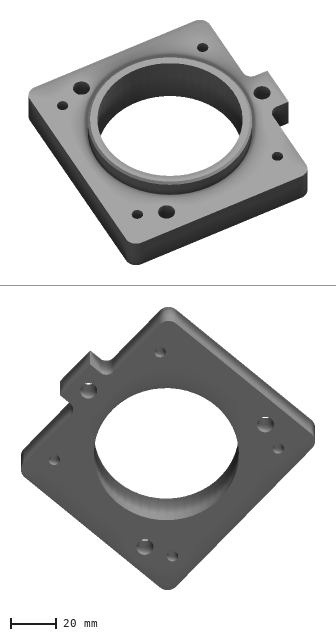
import cadquery as cq
import math

plate_width = 100.0
plate_depth = 90.0
plate_thickness = 15.0
bore_to_front_edge = 46.0
corner_radius = 5.0

tab_width = 20.0
tab_length = 10.0
tab_root_radius = 4.0

ring_diameter = 72.5
ring_height = 8.0
ring_chamfer = 1.0
ring_root_radius = 0.2
bore_diameter = 64.0

small_hole_diameter = 5.0
small_hole_spacing = 70.0
large_hole_diameter = 7.5
large_hole_circle_radius = 46.0
large_hole_angles = (90, 210, 330)

plate_center_y = plate_depth / 2 - bore_to_front_edge
rear_edge_y = plate_depth - bore_to_front_edge
total_height = plate_thickness + ring_height

selection_margin = 1.0


def make_plate():
    """Rounded plate with a tab blended into its rear edge."""
    plate = (
        cq.Workplane("XY")
        .center(0, plate_center_y)
        .rect(plate_width, plate_depth)
        .extrude(plate_thickness)
        .edges("|Z")
        .fillet(corner_radius)
    )
    tab = (
        cq.Workplane("XY")
        .center(0, rear_edge_y)
        .rect(tab_width, 2 * tab_length)
        .extrude(plate_thickness)
    )
    tab_roots = cq.selectors.BoxSelector(
        (-tab_width, rear_edge_y - selection_margin, -selection_margin),
        (tab_width, rear_edge_y + selection_margin, plate_thickness + selection_margin),
    )
    return plate.union(tab).edges("|Z").edges(tab_roots).fillet(tab_root_radius)


def make_ring():
    """Raised ring body with a chamfered outer rim."""
    return (
        cq.Workplane("XY")
        .circle(ring_diameter / 2)
        .extrude(total_height)
        .faces(">Z")
        .edges()
        .chamfer(ring_chamfer)
    )


def through_holes(points, diameter):
    """Cylinders that cut through the full height of the part."""
    return cq.Workplane("XY").pushPoints(points).circle(diameter / 2).extrude(total_height)


large_hole_points = [
    (
        large_hole_circle_radius * math.cos(math.radians(angle)),
        large_hole_circle_radius * math.sin(math.radians(angle)),
    )
    for angle in large_hole_angles
]
small_hole_points = [
    (x_side * small_hole_spacing / 2, y_side * small_hole_spacing / 2)
    for x_side in (-1, 1)
    for y_side in (-1, 1)
]

ring_root = cq.selectors.BoxSelector(
    (-ring_diameter, -ring_diameter, plate_thickness - ring_root_radius),
    (ring_diameter, ring_diameter, plate_thickness + ring_root_radius),
)

result = (
    make_plate()
    .union(make_ring())
    .edges("%CIRCLE")
    .edges(cq.selectors.RadiusNthSelector(-1))
    .edges(ring_root)
    .fillet(ring_root_radius)
    .cut(through_holes([(0, 0)], bore_diameter))
    .cut(through_holes(small_hole_points, small_hole_diameter))
    .cut(through_holes(large_hole_points, large_hole_diameter))
)